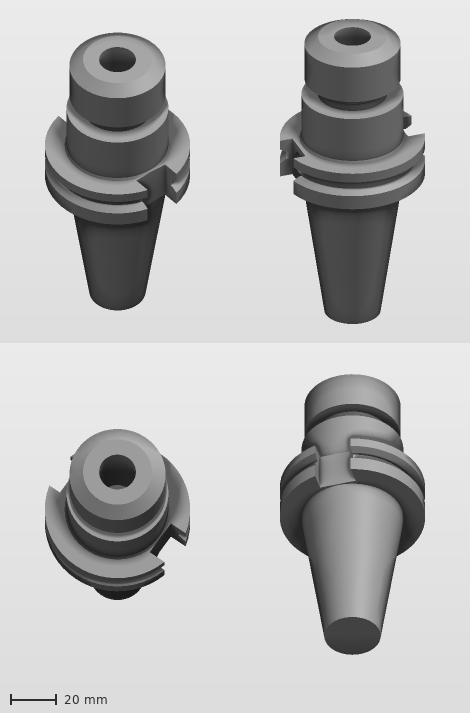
import cadquery as cq
import math

total_height = 138.2
taper_top = 68.2
flange_bottom = 69.4
flange_top = 87.4
body_top = 109.5
nut_bottom = 117.4

gauge_radius = 22.3
taper_slope = 7 / 48
taper_end_radius = gauge_radius - taper_top * taper_slope

flange_diameter = 63.5
flange_radius = flange_diameter / 2
groove_radius = 28.0
groove_floor_bottom = 77.7
groove_floor_top = 81.3
groove_ledge_radius = 29.2
groove_side_height = 1.7

body_radius = 22.3
flare_radius = 23.1
flare_height = 1.0

neck_radius = 15.2
collar_radius = 16.0
collar_bottom = 113.5
collar_bevel = collar_radius - neck_radius
nut_radius = 21.0
nut_chamfer_height = 3.5
nut_face_radius = nut_radius - nut_chamfer_height / math.tan(math.radians(30))
bore_radius = 8.0
bore_depth = 41.5

slot_width = 16.2
left_slot_floor = 25.0
right_slot_floor = 22.8
side_hole_radius = 5.0
side_hole_depth = 11.0
side_hole_height = (groove_floor_bottom + groove_floor_top) / 2


def turned_body():
    """Full solid of revolution, drawn as (radius, height) on one side of the axis."""
    profile = [
        (0, 0),
        (taper_end_radius, 0),
        (gauge_radius, taper_top),
        (gauge_radius, flange_bottom),
        (flange_radius, flange_bottom),
        (flange_radius, groove_floor_bottom - groove_side_height),
        (groove_ledge_radius, groove_floor_bottom),
        (groove_radius, groove_floor_bottom),
        (groove_radius, groove_floor_top),
        (groove_ledge_radius, groove_floor_top),
        (flange_radius, groove_floor_top + groove_side_height),
        (flange_radius, flange_top),
        (flare_radius, flange_top),
        (body_radius, flange_top + flare_height),
        (body_radius, body_top),
        (neck_radius, body_top),
        (neck_radius, collar_bottom - collar_bevel),
        (collar_radius, collar_bottom),
        (collar_radius, nut_bottom),
        (nut_radius, nut_bottom),
        (nut_radius, total_height - nut_chamfer_height),
        (nut_face_radius, total_height),
        (0, total_height),
    ]
    return cq.Workplane("XZ").polyline(profile).close().revolve(360, (0, 0), (0, 1))


def drive_slot(side, floor):
    """Cutter for a slot on the +X (side=1) or -X (side=-1) edge of the flange."""
    slot_depth = flange_radius - floor
    slot_height = flange_top + flare_height - flange_bottom
    return (
        cq.Workplane("XY", origin=(side * (floor + slot_depth / 2), 0, flange_bottom))
        .rect(slot_depth, slot_width)
        .extrude(slot_height)
    )


def side_hole():
    return (
        cq.Workplane("YZ", origin=(-left_slot_floor, 0, side_hole_height))
        .circle(side_hole_radius)
        .extrude(side_hole_depth)
    )


def collet_bore():
    return (
        cq.Workplane("XY", origin=(0, 0, total_height - bore_depth))
        .circle(bore_radius)
        .extrude(bore_depth)
    )


result = (
    turned_body()
    .cut(drive_slot(-1, left_slot_floor))
    .cut(drive_slot(1, right_slot_floor))
    .cut(side_hole())
    .cut(collet_bore())
)